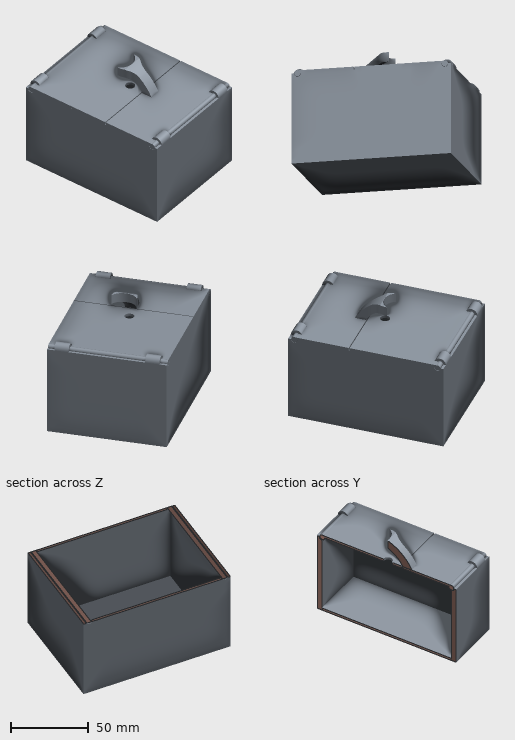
import cadquery as cq

LENGTH = 106.0
WIDTH = 80.0
WALL_TOP = 60.0
SIDE_WALL = 4.0
PANEL = 2.0

HINGE_X = LENGTH / 2 - SIDE_WALL
PIN_RADIUS = 4.0 / 2
BORE_RADIUS = 4.5 / 2
KNUCKLE_RADIUS = SIDE_WALL
KNUCKLE_LENGTH = 9.5
KNUCKLE_INSET = 4.9
KNUCKLE_CLEARANCE = 0.3
KNUCKLE_Y = WIDTH / 2 - KNUCKLE_INSET - KNUCKLE_LENGTH / 2

LID_THICKNESS = 1.9
LID_TOP = WALL_TOP + LID_THICKNESS
LID_GAP_X = 11.3
LID_GAP = 0.6
HOLE_RADIUS = 6.5 / 2
HOLE_X = 1.0

HANDLE_TOP = 78.2
HANDLE_HEIGHT = 6.4
HANDLE_Y = 2.1
TIP_X = -4.2
FLARE_X = -3.5
FORK_X = 0.8
FORK_FLAT = 0.7
BEND_X = 1.0
NECK_X = 10.1
FOOT_INNER_X = 11.9
FOOT_OUTER_X = 19.4
TIP_HALF_WIDTH = 17.1 / 2
NECK_HALF_WIDTH = 7.5 / 2
OUTER_BEND_RADIUS = 34.0
INNER_BEND_RADIUS = 23.6


def rod(x, radius, length, y=0):
    """Cylinder along Y on a hinge axis, centred at the given Y."""
    return (
        cq.Workplane("XZ", origin=(x, y + length / 2, WALL_TOP))
        .circle(radius)
        .extrude(length)
    )


def block(x_min, x_max, z_min, z_max, y_size=WIDTH):
    """Box centred on Y = 0."""
    return (
        cq.Workplane("XY", origin=((x_min + x_max) / 2, 0, z_min))
        .box(x_max - x_min, y_size, z_max - z_min, centered=(True, True, False))
    )


def make_side_wall(side):
    """Side wall with two half-round knuckles; side is -1 for left and 1 for right."""
    inner, outer = side * HINGE_X, side * LENGTH / 2
    wall = block(min(inner, outer), max(inner, outer), 0, WALL_TOP)
    above_wall = block(-LENGTH, LENGTH, WALL_TOP, WALL_TOP + KNUCKLE_RADIUS)
    for y in (-KNUCKLE_Y, KNUCKLE_Y):
        knuckle = rod(inner, KNUCKLE_RADIUS, KNUCKLE_LENGTH, y).intersect(above_wall)
        wall = wall.union(knuckle)
    return wall.cut(rod(inner, BORE_RADIUS, WIDTH))


def make_tray():
    """Front panel, floor and back panel in one piece, grooved for the hinge pins."""
    tray = block(-HINGE_X, HINGE_X, 0, WALL_TOP)
    cavity = block(-HINGE_X, HINGE_X, PANEL, WALL_TOP, WIDTH - 2 * PANEL)
    tray = tray.cut(cavity)
    for x in (-HINGE_X, HINGE_X):
        tray = tray.cut(rod(x, BORE_RADIUS, WIDTH))
    return tray


def make_lid(side):
    """Lid plate with a full-length hinge pin, notched around the knuckles."""
    hinge = side * HINGE_X
    free_edge = LID_GAP_X + side * LID_GAP / 2
    pin = rod(hinge, PIN_RADIUS, WIDTH)
    plate = block(min(hinge, free_edge), max(hinge, free_edge), WALL_TOP, LID_TOP)
    notch_length = KNUCKLE_LENGTH + 2 * KNUCKLE_CLEARANCE
    for y in (-KNUCKLE_Y, KNUCKLE_Y):
        plate = plate.cut(rod(hinge, KNUCKLE_RADIUS, notch_length, y))
    return plate.union(pin)


def drill_hole(lid):
    """Round hole through the lid, midway along Y."""
    hole = cq.Workplane("XY", origin=(HOLE_X, 0, WALL_TOP)).circle(HOLE_RADIUS).extrude(LID_THICKNESS)
    return lid.cut(hole)


def make_handle():
    """Curved handle with a forked tip that stands on the right lid."""
    flare_length = NECK_X - FLARE_X
    flare_rise = TIP_HALF_WIDTH - NECK_HALF_WIDTH
    flare_radius = (flare_length**2 + flare_rise**2) / (4 * flare_rise)
    bend_x = (FLARE_X + NECK_X) / 2
    bend_y = (TIP_HALF_WIDTH + NECK_HALF_WIDTH) / 2
    hollow_depth = FORK_X - TIP_X
    hollow_half_width = TIP_HALF_WIDTH - FORK_FLAT / 2
    hollow_radius = (hollow_depth**2 + hollow_half_width**2) / (2 * hollow_depth)
    height = HANDLE_TOP - LID_TOP
    plan = (
        cq.Workplane("XY", origin=(0, HANDLE_Y, LID_TOP))
        .moveTo(TIP_X, TIP_HALF_WIDTH)
        .lineTo(FLARE_X, TIP_HALF_WIDTH)
        .radiusArc((bend_x, bend_y), flare_radius)
        .radiusArc((NECK_X, NECK_HALF_WIDTH), -flare_radius)
        .lineTo(FOOT_OUTER_X, NECK_HALF_WIDTH)
        .lineTo(FOOT_OUTER_X, -NECK_HALF_WIDTH)
        .lineTo(NECK_X, -NECK_HALF_WIDTH)
        .radiusArc((bend_x, -bend_y), -flare_radius)
        .radiusArc((FLARE_X, -TIP_HALF_WIDTH), flare_radius)
        .lineTo(TIP_X, -TIP_HALF_WIDTH)
        .radiusArc((FORK_X, -FORK_FLAT / 2), -hollow_radius)
        .lineTo(FORK_X, FORK_FLAT / 2)
        .radiusArc((TIP_X, TIP_HALF_WIDTH), -hollow_radius)
        .close()
        .extrude(height)
    )
    profile = (
        cq.Workplane("XZ", origin=(0, HANDLE_Y + TIP_HALF_WIDTH, 0))
        .moveTo(TIP_X, HANDLE_TOP)
        .lineTo(BEND_X, HANDLE_TOP)
        .radiusArc((FOOT_OUTER_X, LID_TOP), OUTER_BEND_RADIUS)
        .lineTo(FOOT_INNER_X, LID_TOP)
        .radiusArc((BEND_X, HANDLE_TOP - HANDLE_HEIGHT), -INNER_BEND_RADIUS)
        .lineTo(TIP_X, HANDLE_TOP - HANDLE_HEIGHT)
        .close()
        .extrude(2 * TIP_HALF_WIDTH)
    )
    return plan.intersect(profile)


tray = make_tray()
side_walls = [make_side_wall(side) for side in (-1, 1)]
left_lid = drill_hole(make_lid(-1))
right_lid = make_lid(1)
handle = make_handle()

result = cq.Compound.makeCompound(
    [
        tray.val(),
        *[wall.val() for wall in side_walls],
        left_lid.val(),
        right_lid.val(),
        handle.val(),
    ]
)